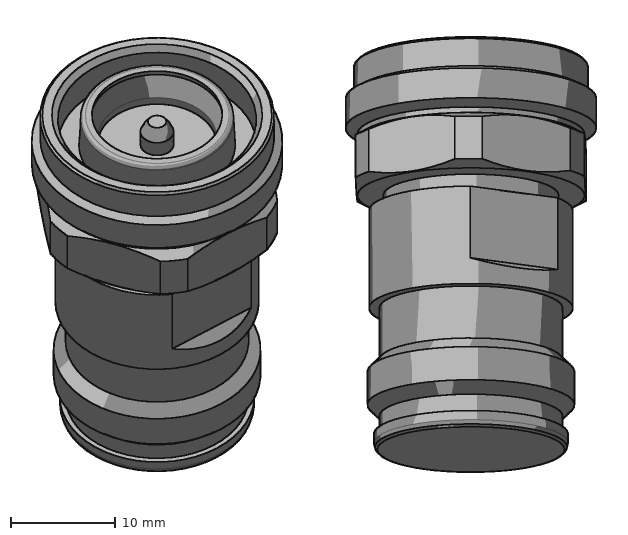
import cadquery as cq
import math

LENGTH = 38.0
BEVEL_ANGLE = 30
BEVEL = math.tan(math.radians(BEVEL_ANGLE))

BODY_R = 8.78
END_FLANGE_R = 9.3
END_FLANGE_TOP = 1.52
END_TAPER_TOP = 0.65
END_TAPER_R = 9.2
END_CHAMFER = 0.23
COLLAR_R = 9.9
COLLAR_BOTTOM = 3.25
COLLAR_TOP = 8.8
COLLAR_CHAMFER = COLLAR_R - BODY_R

WRENCH_R = 9.75
WRENCH_BOTTOM = 13.95
WRENCH_TOP = 23.55
FLAT_OFFSET = 8.5
FLAT_BOTTOM = 16.5
CUT_CLEARANCE = 0.38
NECK_R = 8.4

NUT_R = 11.97
NUT_FLATS = 21.93
HALF_HEX_ANGLE = 180 / 6
NUT_FACE_R = 10.85
NUT_BOTTOM = 25.08
NUT_TOP = 30.55

GROOVE_R = 10.9
GROOVE_TOP = 31.1
RING_R = 12.0
RING_TOP = 35.07
RING_SLOPE_HEIGHT = 0.4
RIM_R = 11.2
RIM_CHAMFER = 0.23

SOCKET_R = 9.5
SOCKET_FLOOR = 34.12
SOCKET_CHAMFER = 0.57

SLEEVE_BASE_R = 7.5
SLEEVE_TOP_R = 7.35
SLEEVE_ROUND = 0.45
SLEEVE_FLOOR = 34.2
LIP_R = 6.25
LIP_UNDERCUT_R = 6.35
LIP_HEIGHT = 0.57
BORE_R = 5.7
BORE_TOP = 35.07

PIN_R = 1.6
PIN_TIP_R = 0.87
PIN_TOP = 37.13
PIN_SHOULDER = 35.85
PIN_NOSE_MID_R = 1.33


def revolve(profile):
    """Turn a closed half profile (radius, height) about the Z axis."""
    return profile.close().revolve(360, (0, 0, 0), (0, 1, 0))


def body():
    profile = (
        cq.Workplane("XZ")
        .lineTo(END_TAPER_R - END_CHAMFER, 0)
        .lineTo(END_TAPER_R, END_CHAMFER)
        .lineTo(END_FLANGE_R, END_TAPER_TOP)
        .lineTo(END_FLANGE_R, END_FLANGE_TOP)
        .lineTo(BODY_R, END_FLANGE_TOP)
        .lineTo(BODY_R, COLLAR_BOTTOM)
        .lineTo(COLLAR_R, COLLAR_BOTTOM + COLLAR_CHAMFER)
        .lineTo(COLLAR_R, COLLAR_TOP - COLLAR_CHAMFER)
        .lineTo(BODY_R, COLLAR_TOP)
        .lineTo(BODY_R, WRENCH_BOTTOM)
        .lineTo(WRENCH_R, WRENCH_BOTTOM)
        .lineTo(WRENCH_R, WRENCH_TOP)
        .lineTo(NECK_R, WRENCH_TOP)
        .lineTo(NECK_R, NUT_TOP)
        .lineTo(0, NUT_TOP)
    )
    return revolve(profile)


def flat_cutter():
    """Cutter for both wrench flats, each running out on a slope at its lower end."""
    outer = WRENCH_R + CUT_CLEARANCE
    run_out = FLAT_BOTTOM - (outer - FLAT_OFFSET) * BEVEL
    one_side = (
        cq.Workplane("XZ")
        .moveTo(FLAT_OFFSET, WRENCH_TOP)
        .lineTo(FLAT_OFFSET, FLAT_BOTTOM)
        .lineTo(outer, run_out)
        .lineTo(outer, WRENCH_TOP)
        .close()
        .extrude(WRENCH_R, both=True)
    )
    return one_side.union(one_side.mirror("YZ"))


def nut():
    chamfer_height = (NUT_R - NUT_FACE_R) * BEVEL
    blank = revolve(
        cq.Workplane("XZ")
        .moveTo(0, NUT_BOTTOM)
        .lineTo(NUT_FACE_R, NUT_BOTTOM)
        .lineTo(NUT_R, NUT_BOTTOM + chamfer_height)
        .lineTo(NUT_R, NUT_TOP - chamfer_height)
        .lineTo(NUT_FACE_R, NUT_TOP)
        .lineTo(0, NUT_TOP)
    )
    across_corners = NUT_FLATS / math.cos(math.radians(HALF_HEX_ANGLE))
    hexagon = (
        cq.Workplane("XY", origin=(0, 0, NUT_BOTTOM))
        .transformed(rotate=(0, 0, HALF_HEX_ANGLE))
        .polygon(6, across_corners)
        .extrude(NUT_TOP - NUT_BOTTOM)
    )
    return blank.intersect(hexagon)


def coupling_ring():
    """Grooved ring with the socket bored into its top end."""
    profile = (
        cq.Workplane("XZ")
        .moveTo(0, NUT_TOP)
        .lineTo(GROOVE_R, NUT_TOP)
        .lineTo(GROOVE_R, GROOVE_TOP)
        .lineTo(RING_R, GROOVE_TOP + (RING_R - GROOVE_R) * BEVEL)
        .lineTo(RING_R, RING_TOP - RING_SLOPE_HEIGHT)
        .lineTo(RIM_R, RING_TOP)
        .lineTo(RIM_R, LENGTH - RIM_CHAMFER)
        .lineTo(RIM_R - RIM_CHAMFER, LENGTH)
        .lineTo(SOCKET_R + SOCKET_CHAMFER, LENGTH)
        .lineTo(SOCKET_R, LENGTH - SOCKET_CHAMFER)
        .lineTo(SOCKET_R, SOCKET_FLOOR)
        .lineTo(0, SOCKET_FLOOR)
    )
    return revolve(profile)


def contact_sleeve():
    """Sleeve with a rounded outer rim and a bore that flares towards an undercut lip."""
    round_start = LENGTH - SLEEVE_ROUND
    round_mid = SLEEVE_ROUND * math.sqrt(0.5)
    flat_r = SLEEVE_TOP_R - SLEEVE_ROUND
    profile = (
        cq.Workplane("XZ")
        .moveTo(0, NUT_TOP)
        .lineTo(SLEEVE_BASE_R, NUT_TOP)
        .lineTo(SLEEVE_BASE_R, SLEEVE_FLOOR)
        .lineTo(SLEEVE_TOP_R, round_start)
        .threePointArc((flat_r + round_mid, round_start + round_mid), (flat_r, LENGTH))
        .lineTo(LIP_R, LENGTH)
        .lineTo(LIP_UNDERCUT_R, LENGTH - LIP_HEIGHT)
        .lineTo(BORE_R, BORE_TOP)
        .lineTo(BORE_R, SLEEVE_FLOOR)
        .lineTo(0, SLEEVE_FLOOR)
    )
    return revolve(profile)


def centre_pin():
    """Pin with a straight shank and a slightly bulging, tapered nose."""
    profile = (
        cq.Workplane("XZ")
        .moveTo(0, SLEEVE_FLOOR)
        .lineTo(PIN_R, SLEEVE_FLOOR)
        .lineTo(PIN_R, PIN_SHOULDER)
        .threePointArc((PIN_NOSE_MID_R, (PIN_SHOULDER + PIN_TOP) / 2), (PIN_TIP_R, PIN_TOP))
        .lineTo(0, PIN_TOP)
    )
    return revolve(profile)


result = (
    body()
    .cut(flat_cutter())
    .union(nut())
    .union(coupling_ring())
    .union(contact_sleeve())
    .union(centre_pin())
)